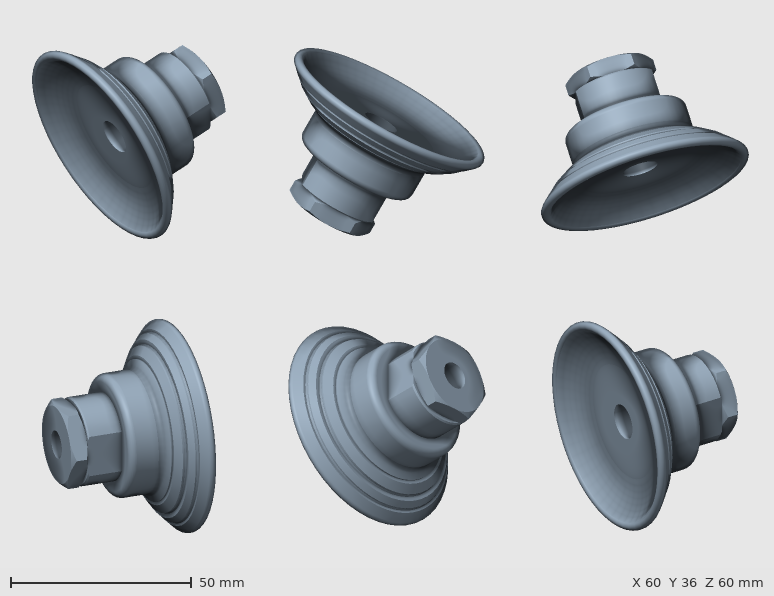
import cadquery as cq
import math


outer_radius = 30.0
length = 36.0

across_flats = 22.0
hex_thickness = 5.05
hex_chamfer_angle = math.radians(30)
neck_diameter = 25.0
neck_chamfer = 0.4
neck_end = length - hex_thickness

body_radius = 35.0 / 2
body_back = 21.0
body_fillet = 2.0
body_front = 12.5
flare_end_radius = 18.2
flare_end = 10.8

first_step_radius = 40.1 / 2
second_step_radius = 46.9 / 2
third_step_radius = 53.1 / 2
groove_flare = 0.3

first_step_back = 9.7
first_step_front = 9.3
second_cone_radius = 21.0
second_step_back = 7.7
second_band_front = 7.0
second_step_front = 6.6
third_cone_radius = 25.0
third_step_back = 5.1
third_band_front = 4.7
skirt_end = 4.2

lip_round = 1.25
crease_radius = 27.65
floor_radius = 16.5
floor_depth = 5.75

bore_diameter = 10.0
bore_end = body_back
chamfer_diameter = 8.95
through_diameter = 8.0


def point_on_circle(center, radius, angle):
    """Point at an angle measured from the radial direction towards +Y."""
    return (center[0] + radius * math.cos(angle), center[1] + radius * math.sin(angle))


def revolve_about_y(profile):
    return profile.close().revolve(360, (0, 0, 0), (0, 1, 0))


def cylinder(diameter, start, end):
    return (
        cq.Workplane("XZ", origin=(0, start, 0))
        .circle(diameter / 2)
        .extrude(start - end)
    )


def make_cup():
    lip_center = (outer_radius - lip_round, lip_round)

    crease_angle = -math.acos((crease_radius - lip_center[0]) / lip_round)
    crease = point_on_circle(lip_center, lip_round, crease_angle)
    lip_front = (lip_center[0], 0)

    skirt_angle = math.pi / 4
    skirt_start = point_on_circle(lip_center, lip_round, skirt_angle)
    skirt_end_radius = skirt_start[0] + skirt_start[1] - skirt_end

    profile = (
        cq.Workplane("XY")
        .moveTo(0, floor_depth)
        .lineTo(floor_radius, floor_depth)
        .tangentArcPoint(crease, relative=False)
        .threePointArc(lip_front, skirt_start)
        .lineTo(skirt_end_radius, skirt_end)
        .lineTo(third_step_radius + groove_flare, skirt_end)
        .lineTo(third_step_radius, third_band_front)
        .lineTo(third_step_radius, third_step_back)
        .lineTo(third_cone_radius, second_step_front)
        .lineTo(second_step_radius + groove_flare, second_step_front)
        .lineTo(second_step_radius, second_band_front)
        .lineTo(second_step_radius, second_step_back)
        .lineTo(second_cone_radius, first_step_front)
        .lineTo(first_step_radius, first_step_front)
        .lineTo(first_step_radius, first_step_back)
        .lineTo(flare_end_radius, flare_end)
        .tangentArcPoint((body_radius, body_front), relative=False)
        .lineTo(body_radius, body_back - body_fillet)
        .radiusArc((body_radius - body_fillet, body_back), -body_fillet)
        .lineTo(0, body_back)
    )
    return revolve_about_y(profile)


def make_neck():
    """Round neck with two flats facing +X and -X."""
    neck = cylinder(neck_diameter, body_back, neck_end).faces(">Y").chamfer(neck_chamfer)
    flats = cq.Workplane("XY").box(across_flats, 2 * length, 2 * outer_radius)
    return neck.intersect(flats)


def make_hexagon():
    """Hexagon with corners on X, its corners cut by a cone at both ends."""
    inner = across_flats / 2
    corner = inner / math.cos(math.pi / 6)
    chamfer_depth = (corner - inner) * math.tan(hex_chamfer_angle)
    prism = (
        cq.Workplane("XZ", origin=(0, neck_end, 0))
        .polygon(6, 2 * corner)
        .extrude(-hex_thickness)
    )
    envelope = revolve_about_y(
        cq.Workplane("XY")
        .moveTo(0, neck_end)
        .lineTo(inner, neck_end)
        .lineTo(corner, neck_end + chamfer_depth)
        .lineTo(corner, length - chamfer_depth)
        .lineTo(inner, length)
        .lineTo(0, length)
    )
    return prism.intersect(envelope)


def make_bore():
    """Wide bore from the cup floor, then a chamfered through hole."""
    chamfer_depth = (chamfer_diameter - through_diameter) / 2
    return revolve_about_y(
        cq.Workplane("XY")
        .lineTo(bore_diameter / 2, 0)
        .lineTo(bore_diameter / 2, bore_end)
        .lineTo(chamfer_diameter / 2, bore_end)
        .lineTo(through_diameter / 2, bore_end + chamfer_depth)
        .lineTo(through_diameter / 2, length)
        .lineTo(0, length)
    )


result = make_cup().union(make_neck()).union(make_hexagon()).cut(make_bore())